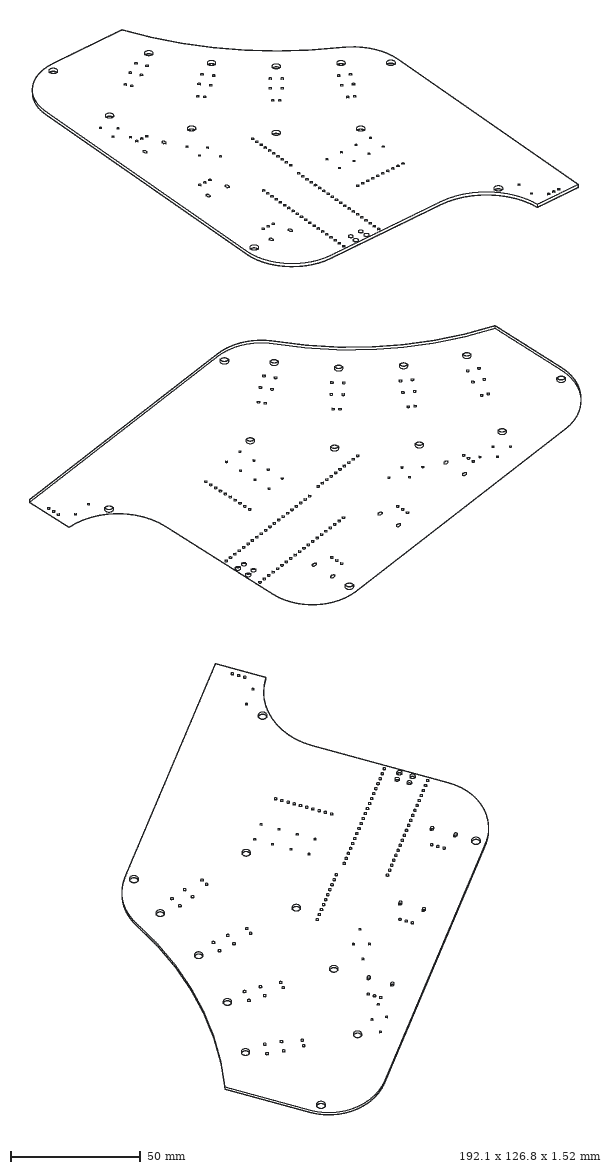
import cadquery as cq
import math

length = 192.1
width = 126.8
thickness = 1.52
body_right = 166.7
corner_radius = 22.9
notch_radius = 27.5
notch_center_y = 78.8

fan_center = (-53.5, 180.4)
fan_axis = -45.0
fan_step = 10.0
fan_count = 4
fan_edge_radius = 134.0
fan_switch_radius = 144.3

mount_diameter = 3.5
post_diameter = 3.3
pin_diameter = 1.0
switch_pin_diameter = 1.1
lead_diameter = 0.8
usb_outer_diameter = 2.1
usb_inner_diameter = 1.85

far_post_distance = 44.2
switch_pin_pairs = [
    (8.0, 2.3, switch_pin_diameter),
    (14.6, 2.3, switch_pin_diameter),
    (22.7, 1.3, pin_diameter),
]

controller_pins = 20
controller_left = 117.0
controller_row_length = 48.2
controller_lower_y = 31.0
controller_upper_y = 48.6
pin_pitch = controller_row_length / (controller_pins - 1)
controller_middle_y = (controller_lower_y + controller_upper_y) / 2
usb_pairs = [
    (162.0, 2.5, usb_inner_diameter),
    (165.2, 2.7, usb_outer_diameter),
]

header_pins = 10
side_header_start = (88.0, 49.8)
upright_header_start = (138.0, 60.9)

group_pins = 3
arm_group_start = (189.6, 114.0)
dial_count = 3
dial_step = 38.0
dial_pins_start = (60.3, 14.5)
dial_slot_x = 67.8
dial_slot_heights = [12.3, 21.9]
dial_slot_length = 2.0
dial_slot_width = 1.2

lead_spacing = 3 * pin_pitch
diode_left_leads = [
    (116.8, 85.1),
    (116.8, 77.8),
    (116.8, 70.3),
    (116.8, 63.0),
    (177.5, 109.1),
    (81.3, 32.7),
    (75.7, 26.9),
    (49.2, 14.2),
    (44.5, 9.2),
]

mount_points = [(83.5, 123.1), (174.2, 101.5), (3.8, 19.5), (143.7, 3.8)]


def polar_point(center, radius, degrees):
    """Point at a radius and direction from a centre."""
    angle = math.radians(degrees)
    return (center[0] + radius * math.cos(angle), center[1] + radius * math.sin(angle))


def pin_row(start, count, dx, dy):
    """Pins one pitch apart along the unit direction (dx, dy)."""
    return [(start[0] + i * pin_pitch * dx, start[1] + i * pin_pitch * dy) for i in range(count)]


def make_board():
    """Plate with three rounded corners, a concave left edge and a concave right notch."""
    fan_x, fan_y = fan_center
    left_end = (0, fan_y - math.sqrt(fan_edge_radius**2 - fan_x**2))

    corner_y = width - corner_radius
    center_distance = fan_edge_radius + corner_radius
    corner_x = fan_x + math.sqrt(center_distance**2 - (corner_y - fan_y) ** 2)
    corner_center = (corner_x, corner_y)
    join_angle = math.degrees(math.atan2(corner_y - fan_y, corner_x - fan_x))
    join = polar_point(fan_center, fan_edge_radius, join_angle)
    corner_middle_angle = (90 + join_angle + 180) / 2

    notch_center = (body_right + notch_radius, notch_center_y)
    overhang = notch_center[0] - length
    notch_end = (length, notch_center_y + math.sqrt(notch_radius**2 - overhang**2))

    right_corner = (body_right - corner_radius, corner_radius)
    left_corner = (corner_radius, corner_radius)
    return (
        cq.Workplane("XY")
        .moveTo(corner_radius, 0)
        .lineTo(body_right - corner_radius, 0)
        .threePointArc(polar_point(right_corner, corner_radius, -45), (body_right, corner_radius))
        .lineTo(body_right, notch_center_y)
        .threePointArc(polar_point(notch_center, notch_radius, 135), notch_end)
        .lineTo(length, width)
        .lineTo(corner_x, width)
        .threePointArc(polar_point(corner_center, corner_radius, corner_middle_angle), join)
        .threePointArc(polar_point(fan_center, fan_edge_radius, fan_axis), left_end)
        .lineTo(0, corner_radius)
        .threePointArc(polar_point(left_corner, corner_radius, 225), (corner_radius, 0))
        .close()
        .extrude(thickness)
    )


def drill(points, diameter):
    """Cylinders that cut round holes through the board."""
    return cq.Workplane("XY").pushPoints(points).circle(diameter / 2).extrude(thickness)


def switch_cutters(direction):
    """Posts and pin pairs of one switch, laid out along its direction from the fan centre."""
    posts = [fan_switch_radius, fan_switch_radius + far_post_distance]
    cutters = [drill([polar_point(fan_center, radius, direction) for radius in posts], post_diameter)]
    for distance, half_spacing, diameter in switch_pin_pairs:
        middle = polar_point(fan_center, fan_switch_radius + distance, direction)
        pair = [polar_point(middle, half_spacing, direction + turn) for turn in (90, -90)]
        cutters.append(drill(pair, diameter))
    return cutters


def controller_cutters():
    """Two pin rows and the USB post holes, symmetric about the controller's middle."""
    cutters = []
    for row_y in (controller_lower_y, controller_upper_y):
        cutters.append(drill(pin_row((controller_left, row_y), controller_pins, 1, 0), pin_diameter))
    for x, half_spacing, diameter in usb_pairs:
        pair = [(x, controller_middle_y + half_spacing), (x, controller_middle_y - half_spacing)]
        cutters.append(drill(pair, diameter))
    return cutters


def dial_cutters(offset):
    """Three pins and two slots of one dial, moved right by the offset."""
    pins_start = (dial_pins_start[0] + offset, dial_pins_start[1])
    slot_points = [(dial_slot_x + offset, y) for y in dial_slot_heights]
    slots = (
        cq.Workplane("XY")
        .pushPoints(slot_points)
        .slot2D(dial_slot_length, dial_slot_width)
        .extrude(thickness)
    )
    return [drill(pin_row(pins_start, group_pins, 0, 1), pin_diameter), slots]


def diode_points():
    """Both leads of every diode."""
    right_leads = [(x + lead_spacing, y) for x, y in diode_left_leads]
    return diode_left_leads + right_leads


cutters = [
    drill(mount_points, mount_diameter),
    drill(pin_row(side_header_start, header_pins, 1, 0), pin_diameter),
    drill(pin_row(upright_header_start, header_pins, 0, 1), pin_diameter),
    drill(pin_row(arm_group_start, group_pins, 0, 1), pin_diameter),
    drill(diode_points(), lead_diameter),
]
cutters += controller_cutters()
for i in range(fan_count):
    cutters += switch_cutters(fan_axis + (i - (fan_count - 1) / 2) * fan_step)
for i in range(dial_count):
    cutters += dial_cutters(i * dial_step)

result = make_board()
for cutter in cutters:
    result = result.cut(cutter)